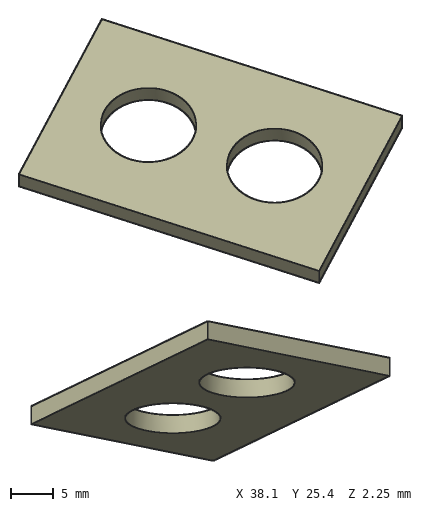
import cadquery as cq

length = 38.1
width = 25.4
thickness = 2.25

hole_diameter = 11.18
hole_spacing = 16.0
first_hole_inset = 11.18

first_hole_x = -length / 2 + first_hole_inset
hole_centers = [(first_hole_x, 0), (first_hole_x + hole_spacing, 0)]

plate = cq.Workplane("XY").box(length, width, thickness)
result = plate.faces(">Z").workplane().pushPoints(hole_centers).hole(hole_diameter)